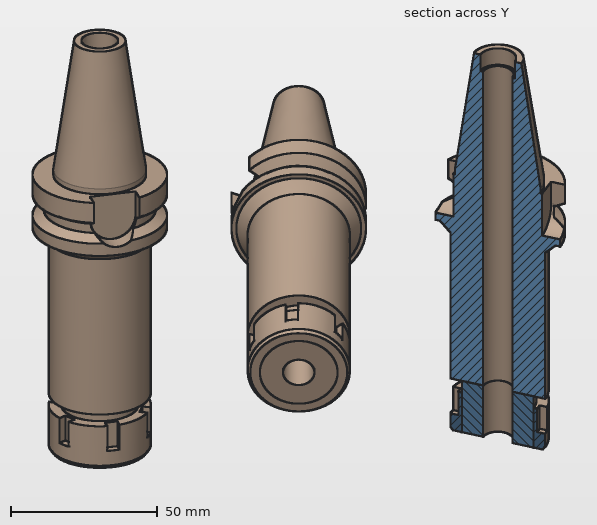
import cadquery as cq
import math

TOTAL_LENGTH = 153.4

SHANK_TIP_DIAMETER = 17.6
GAUGE_DIAMETER = 31.8
SHANK_LENGTH = 48.5
COLLAR_LENGTH = 2.0

FLANGE_DIAMETER = 46.0
FLANGE_LENGTH = 20.0
UPPER_RIM_LENGTH = 7.5
LOWER_RIM_LENGTH = 4.6
GROOVE_FLOOR_DIAMETER = 38.4
GROOVE_FLANK_ANGLE = 30.0

KEYWAY_WIDTH = 16.1
KEYWAY_DEPTH = 16.9
KEYWAY_FLAT_OFFSET = 16.4

BODY_DIAMETER = 35.0
BODY_END_Z = 20.5
SHOULDER_LENGTH = 3.8

COLLET_DIAMETER = 26.5
NUT_DIAMETER = 35.0
NUT_HEIGHT = 16.1
NUT_CHAMFER_LENGTH = 1.2
NUT_CHAMFER_WIDTH = 0.9
SPANNER_SLOT_COUNT = 6
SPANNER_SLOT_WIDTH = 4.3
SPANNER_SLOT_LENGTH = 9.4
SPANNER_SLOT_FLOOR_RADIUS = 14.5

BORE_DIAMETER = 10.7
COUNTERBORE_DIAMETER = 12.6
COUNTERBORE_DEPTH = 6.6

GAUGE_Z = TOTAL_LENGTH - SHANK_LENGTH
FLANGE_TOP_Z = GAUGE_Z - COLLAR_LENGTH
FLANGE_BOTTOM_Z = FLANGE_TOP_Z - FLANGE_LENGTH
GROOVE_TOP_Z = FLANGE_TOP_Z - UPPER_RIM_LENGTH
GROOVE_BOTTOM_Z = FLANGE_BOTTOM_Z + LOWER_RIM_LENGTH


def cylinder(diameter, bottom_z, top_z):
    """Cylinder on the Z axis between two heights."""
    return cq.Workplane("XY").workplane(offset=bottom_z).circle(diameter / 2).extrude(top_z - bottom_z)


def turned_blank():
    """Shank, flange and body as one revolved outline."""
    flange_radius = FLANGE_DIAMETER / 2
    groove_radius = GROOVE_FLOOR_DIAMETER / 2
    body_radius = BODY_DIAMETER / 2
    gauge_radius = GAUGE_DIAMETER / 2
    flank_height = (flange_radius - groove_radius) * math.tan(math.radians(GROOVE_FLANK_ANGLE))
    outline = [
        (0, BODY_END_Z),
        (body_radius, BODY_END_Z),
        (body_radius, FLANGE_BOTTOM_Z - SHOULDER_LENGTH),
        (body_radius + SHOULDER_LENGTH, FLANGE_BOTTOM_Z),
        (flange_radius, FLANGE_BOTTOM_Z),
        (flange_radius, GROOVE_BOTTOM_Z),
        (groove_radius, GROOVE_BOTTOM_Z + flank_height),
        (groove_radius, GROOVE_TOP_Z - flank_height),
        (flange_radius, GROOVE_TOP_Z),
        (flange_radius, FLANGE_TOP_Z),
        (gauge_radius, FLANGE_TOP_Z),
        (gauge_radius, GAUGE_Z),
        (SHANK_TIP_DIAMETER / 2, TOTAL_LENGTH),
        (0, TOTAL_LENGTH),
    ]
    return cq.Workplane("XZ").polyline(outline).close().revolve(360, (0, 0, 0), (0, 1, 0))


def keyway_cutter(side):
    """Round-ended keyway cutter; side is -1 for the -X side and +1 for the +X side."""
    half_width = KEYWAY_WIDTH / 2
    keyway_bottom_z = FLANGE_TOP_Z - KEYWAY_DEPTH
    arc_centre_z = keyway_bottom_z + half_width
    return (
        cq.Workplane("YZ")
        .workplane(offset=side * KEYWAY_FLAT_OFFSET)
        .moveTo(-half_width, FLANGE_TOP_Z)
        .lineTo(-half_width, arc_centre_z)
        .threePointArc((0, keyway_bottom_z), (half_width, arc_centre_z))
        .lineTo(half_width, FLANGE_TOP_Z)
        .close()
        .extrude(side * FLANGE_DIAMETER / 2)
    )


def make_holder():
    """Shank, flange and body with keyways and the stepped bore."""
    holder = turned_blank()
    for side in (-1, 1):
        holder = holder.cut(keyway_cutter(side))
    holder = holder.cut(cylinder(BORE_DIAMETER, BODY_END_Z, TOTAL_LENGTH))
    counterbore = cylinder(COUNTERBORE_DIAMETER, TOTAL_LENGTH - COUNTERBORE_DEPTH, TOTAL_LENGTH)
    return holder.cut(counterbore)


def make_collet():
    """Sleeve that runs from the nut face to the end of the holder body."""
    return cylinder(COLLET_DIAMETER, 0, BODY_END_Z).cut(cylinder(BORE_DIAMETER, 0, BODY_END_Z))


def make_nut():
    """Ring around the collet with a chamfered lower edge and spanner slots open at the top."""
    nut = cylinder(NUT_DIAMETER, 0, NUT_HEIGHT)
    nut = nut.faces("<Z").edges().chamfer(NUT_CHAMFER_LENGTH, NUT_CHAMFER_WIDTH)
    nut = nut.cut(cylinder(COLLET_DIAMETER, 0, NUT_HEIGHT))
    slot = cq.Workplane("XY").box(
        NUT_DIAMETER / 2, SPANNER_SLOT_WIDTH, SPANNER_SLOT_LENGTH, centered=(False, True, False)
    ).translate((SPANNER_SLOT_FLOOR_RADIUS, 0, NUT_HEIGHT - SPANNER_SLOT_LENGTH))
    for index in range(SPANNER_SLOT_COUNT):
        angle = index * 360 / SPANNER_SLOT_COUNT
        nut = nut.cut(slot.rotate((0, 0, 0), (0, 0, 1), angle))
    return nut


holder = make_holder()
collet = make_collet()
nut = make_nut()

result = cq.Compound.makeCompound([holder.solids().val(), collet.solids().val(), nut.solids().val()])